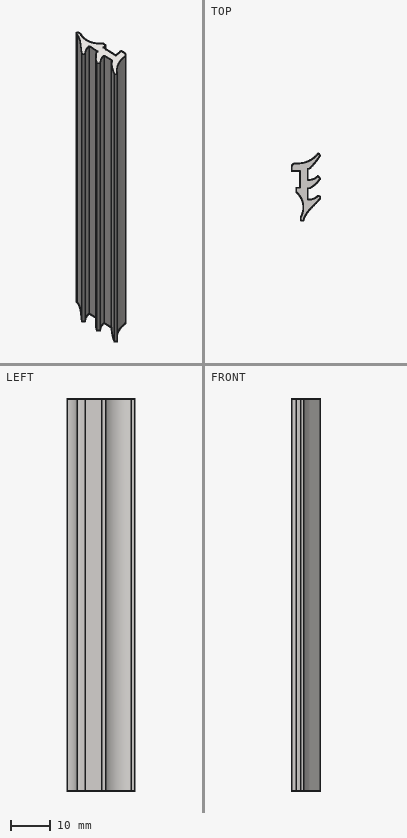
import cadquery as cq

length = 100.0
width = 7.3
height = 17.3

web_left = 2.1
web_right = 4.1

flange_bottom = 12.7
flange_top = 14.7
corner_width = 0.7
corner_height = 1.0

lip_left = 1.1
lip_top = 8.5
lip_bottom = 7.4

upper_barb_root = 13.3
middle_barb_top = 10.5
middle_barb_bottom = 8.3
lower_barb_top = 5.5

tail_left = 2.3
tail_shoulder = 1.0
tail_bottom = 0.4


def left_side(section):
    """Tail back, lip, recess and flange, from the tail up to its rounded corner."""
    return (
        section
        .threePointArc((2.9, 4.2), (lip_left, lip_bottom))
        .lineTo(lip_left, lip_top)
        .lineTo(web_left, lip_top)
        .lineTo(web_left, flange_bottom)
        .lineTo(0, flange_bottom)
        .lineTo(0, flange_top - corner_height)
        .threePointArc((0.2, 14.4), (corner_width, flange_top))
    )


def upper_barb(section):
    """Long barb sweeping up out of the flange top."""
    return (
        section
        .lineTo(1.6, flange_top)
        .threePointArc((4.5, 15.4), (6.8, height))
        .lineTo(width, 16.7)
        .threePointArc((6.0, 14.9), (4.5, upper_barb_root))
        .lineTo(web_right, upper_barb_root)
    )


def middle_barb(section):
    """Short barb with a blunt, square-cut end."""
    return (
        section
        .lineTo(web_right, middle_barb_top)
        .lineTo(4.6, middle_barb_top)
        .threePointArc((5.7, 10.8), (6.7, 11.5))
        .lineTo(width, 10.8)
        .threePointArc((6.0, 9.3), (4.6, middle_barb_bottom))
        .lineTo(web_right, middle_barb_bottom)
    )


def lower_barb(section):
    """Round-ended barb whose underside runs down into the tail."""
    return (
        section
        .lineTo(web_right, lower_barb_top)
        .lineTo(4.8, lower_barb_top)
        .threePointArc((5.8, 5.8), (6.7, 6.4))
        .threePointArc((width, 6.0), (7.1, 5.5))
        .lineTo(4.5, 2.8)
        .threePointArc((3.7, 1.7), (3.1, 0.5))
    )


def tail_tip(section):
    """Rounded lower end of the strip."""
    return section.threePointArc((2.7, 0), (tail_left, tail_bottom)).close()


section = cq.Workplane("XY").moveTo(tail_left, tail_bottom).lineTo(tail_left, tail_shoulder)
for add_stretch in (left_side, upper_barb, middle_barb, lower_barb, tail_tip):
    section = add_stretch(section)

result = section.extrude(length)